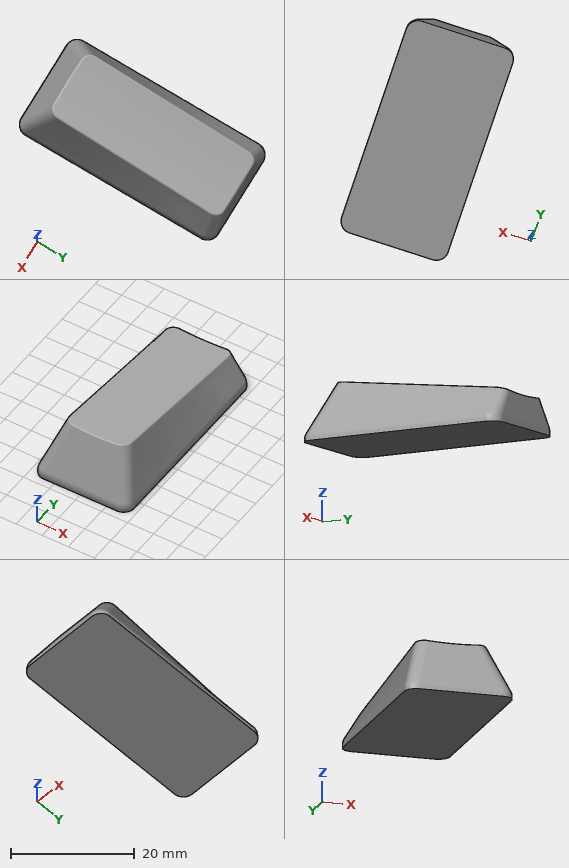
import cadquery as cq
import math

base_width = 18.15
base_length = 37.2
base_corner_radius = 2.0

bend_height = 1.0
bend_half_band = 0.37
bend_bottom = bend_height - bend_half_band

rim_width = 12.0
rim_front_y = -14.0
rim_front_z = 9.95
rim_back_y = 18.27
rim_back_z = 5.9
rim_fillet_radius = 0.3
dish_depth = 0.37
rim_mid_y = (rim_front_y + rim_back_y) / 2
rim_mid_z = (rim_front_z + rim_back_z) / 2

side_lean = (base_width - rim_width) / 2 / (rim_mid_z - bend_height)
front_lean = (rim_front_y + base_length / 2) / (rim_front_z - bend_height)
back_lean = (base_length / 2 - rim_back_y) / (rim_back_z - bend_height)

wall_overrun = 1.1


def rounded_outline(width, front, back):
    """Round-cornered rectangle spanning a front and a back (y, z) point.

    The corner radius scales with the length, so that lofted corners stay tangent to the walls.
    """
    front_y, front_z = front
    back_y, back_z = back
    length = math.dist(front, back)
    plane = cq.Plane(
        origin=(0, (front_y + back_y) / 2, (front_z + back_z) / 2),
        xDir=(1, 0, 0),
        normal=(0, front_z - back_z, back_y - front_y),
    )
    rectangle = cq.Workplane(plane).rect(width, length).val()
    corner_radius = base_corner_radius * length / base_length
    return rectangle.fillet2D(corner_radius, rectangle.Vertices())


def bend_outline(fraction):
    """Outline part way up the bend; the profile is a parabola tangent to skirt and walls."""
    z = bend_bottom + 2 * bend_half_band * fraction
    sloped_rise = bend_half_band * fraction**2
    front_y = -base_length / 2 + front_lean * sloped_rise
    back_y = base_length / 2 - back_lean * sloped_rise
    width = base_width - 2 * side_lean * sloped_rise
    return rounded_outline(width, (front_y, z), (back_y, z))


def past_rim(base_value, rim_value):
    """Extend a dimension along the wall, from the bend through the rim."""
    return base_value + wall_overrun * (rim_value - base_value)


def make_skirt():
    """Upright band at the bottom."""
    outline = rounded_outline(base_width, (-base_length / 2, 0), (base_length / 2, 0))
    return cq.Workplane().add(outline).toPending().extrude(bend_bottom)


def make_bend():
    """Rounded transition from the skirt to the sloping walls."""
    outlines = [bend_outline(fraction) for fraction in (0, 0.5, 1)]
    return cq.Workplane(cq.Solid.makeLoft(outlines))


def make_walls():
    """Sloping walls from the top of the bend to just above the rim."""
    front = (past_rim(-base_length / 2, rim_front_y), past_rim(bend_height, rim_front_z))
    back = (past_rim(base_length / 2, rim_back_y), past_rim(bend_height, rim_back_z))
    upper_outline = rounded_outline(past_rim(base_width, rim_width), front, back)
    return cq.Workplane(cq.Solid.makeLoft([bend_outline(1), upper_outline], ruled=True))


def make_dish_cutter():
    """Large cylinder lying along the sloping top, level with the rim at both sides."""
    dish_radius = ((rim_width / 2) ** 2 + dish_depth**2) / (2 * dish_depth)
    along = cq.Vector(0, rim_back_y - rim_front_y, rim_back_z - rim_front_z).normalized()
    outward = cq.Vector(1, 0, 0).cross(along)
    axis_middle = cq.Vector(0, rim_mid_y, rim_mid_z) + outward * (dish_radius - dish_depth)
    axis_start = axis_middle - along * base_length
    return cq.Workplane(cq.Solid.makeCylinder(dish_radius, 2 * base_length, axis_start, along))


body = make_skirt().union(make_bend()).union(make_walls().cut(make_dish_cutter()))

dish_middle = (0, rim_mid_y, rim_mid_z - dish_depth)
dish_face = body.faces(cq.selectors.NearestToPointSelector(dish_middle))
result = dish_face.edges().fillet(rim_fillet_radius)